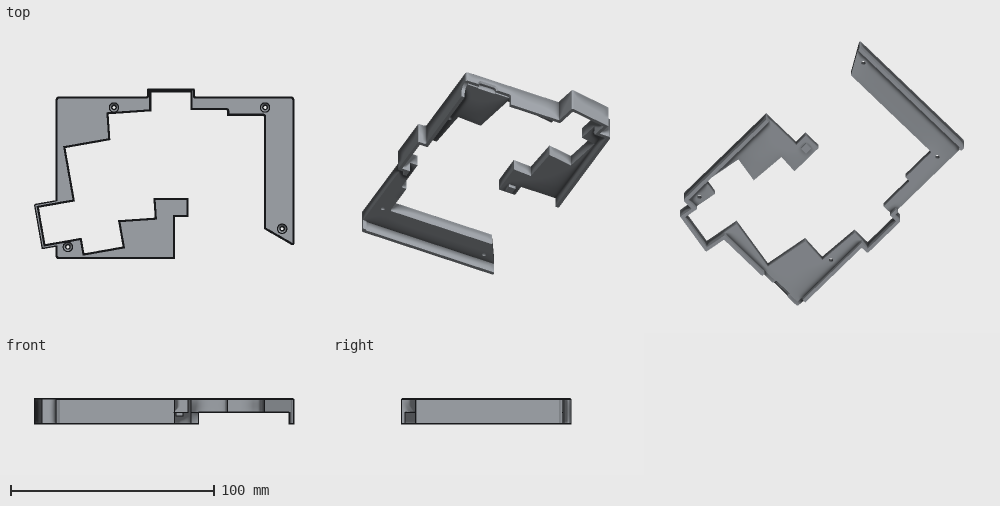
import cadquery as cq
import math

FRAME_RIGHT = 127.4
FRAME_LEFT = 10.6
FRAME_REAR = 79.4
FRAME_FRONT_RIGHT = 68.7
HEIGHT = 12.4
SLAB_BOTTOM = 5.6
WALL = 1.8
CORNER_RADIUS = 1.3
SMALL_CORNER_RADIUS = 0.8
ARM_TIP_RADIUS = 0.6
EDGE_CHAMFER = 0.5

CUP_TILT = 10.0
STEP_TILT = 4.0
CUP_WALL = 1.7
CUP_DEPTH = 18.7
CUP_INNER_Y = 25.2
CUP_LOWER_SIDE = 18.1
FRONT_POCKET_DROP = 7.8
FRONT_POCKET_WIDTH = 19.6
FRONT_POCKET_RISE = 13.1
FRONT_STEP_LENGTH = 18.1
CUP_UPPER_SIDE = 18.0
LEFT_POCKET_RISE = 26.6
LEFT_POCKET_TOP = 22.4
REAR_STEP_RISE = 12.7

TAB_RIGHT = 75.3
TAB_REAR = 29.5
TAB_FRONT = 20.6
TAB_PEG_LEFT = 69.4
TAB_PEG_SIZE = 3.6
TAB_PEG_BOTTOM = 3.8

BUMP_LEFT = 55.4
BUMP_RIGHT = 78.5
BUMP_REAR = 83.5
BUMP_WALL = 1.7

ARM_LEFT = 113.0
ARM_INNER_REAR = 70.5
ARM_FRONT = 6.4
ARM_END_ANGLE = 30.0
REAR_STEP_LEFT = 94.9
REAR_STRIP_FRONT = 73.3

REAR_WINDOW_LEFT = 80.6
REAR_WINDOW_RIGHT = 125.0
LEFT_WINDOW_FRONT = 54.8
LEFT_WINDOW_TOP = 6.4
NOTCH_TOP = 8.9
NOTCH_FRONT = 61.9
NOTCH_REAR = 72.6
NOTCH_SLOPE = 1.1
NOTCH_DEPTH = 2.2
NOTCH_BEVEL = 0.8
NOTCH_BEVEL_ANGLE = 45.0
CORNER_CUT_RIGHT = 15.9
CORNER_CUT_RADIUS = 3.8

SCREW_CENTRES = [(39.0, 74.3), (16.3, 5.7), (113.3, 74.3), (121.7, 14.7)]
SCREW_HOLE = 2.0
SCREW_HEAD = 4.6
SCREW_CONE_ANGLE = 90.0


def step(point, length, angle):
    """Point reached by moving a length from a point at an angle in degrees."""
    heading = math.radians(angle)
    return (point[0] + length * math.cos(heading), point[1] + length * math.sin(heading))


def cross_x(point, angle, x):
    """Point at the given x on the line through a point at an angle in degrees."""
    return (x, point[1] + (x - point[0]) * math.tan(math.radians(angle)))


tilt = math.radians(CUP_TILT)
diagonal = math.cos(tilt) + math.sin(tilt)
cup_corner_x = SMALL_CORNER_RADIUS * (1 - diagonal)
cup_inner_rear = (cup_corner_x + CUP_WALL * diagonal, CUP_INNER_Y)
cup_inner_front = step(cup_inner_rear, CUP_DEPTH, CUP_TILT - 90)
cup_outer_rear = step(step(cup_inner_rear, CUP_WALL, CUP_TILT + 90), CUP_WALL, CUP_TILT + 180)
cup_outer_front = step(cup_outer_rear, CUP_DEPTH + 2 * CUP_WALL, CUP_TILT - 90)
cup_join_rear = cross_x(cup_outer_rear, CUP_TILT, FRAME_LEFT)
cup_join_front = cross_x(cup_outer_front, CUP_TILT, FRAME_LEFT)

front_a = step(cup_inner_front, CUP_LOWER_SIDE, CUP_TILT)
front_b = step(front_a, FRONT_POCKET_DROP, CUP_TILT - 90)
front_c = step(front_b, FRONT_POCKET_WIDTH, CUP_TILT)
front_d = step(front_c, FRONT_POCKET_RISE, CUP_TILT + 90)
front_e = step(front_d, FRONT_STEP_LENGTH, STEP_TILT)
tab_side = (TAB_REAR - front_e[1]) / math.cos(math.radians(STEP_TILT))
front_f = step(front_e, tab_side, STEP_TILT + 90)

rear_a = step(cup_inner_rear, CUP_UPPER_SIDE, CUP_TILT)
rear_b = step(rear_a, LEFT_POCKET_RISE, CUP_TILT + 90)
rear_c = step(rear_b, LEFT_POCKET_TOP, CUP_TILT)
rear_d = step(rear_c, REAR_STEP_RISE, STEP_TILT + 90)
rear_e = cross_x(rear_d, STEP_TILT, BUMP_LEFT + BUMP_WALL)

arm_tip = (FRAME_RIGHT, ARM_FRONT)
outer_edge_rear = [
    cup_join_rear,
    (FRAME_LEFT, FRAME_REAR),
    (BUMP_LEFT, FRAME_REAR),
    (BUMP_LEFT, BUMP_REAR),
    (BUMP_RIGHT, BUMP_REAR),
    (BUMP_RIGHT, FRAME_REAR),
    (FRAME_RIGHT, FRAME_REAR),
]
inner_edge_rear = [
    arm_tip,
    cross_x(arm_tip, -ARM_END_ANGLE, ARM_LEFT),
    (ARM_LEFT, ARM_INNER_REAR),
    (REAR_STEP_LEFT, ARM_INNER_REAR),
    (REAR_STEP_LEFT, REAR_STRIP_FRONT),
    (BUMP_RIGHT - BUMP_WALL, REAR_STRIP_FRONT),
    (BUMP_RIGHT - BUMP_WALL, BUMP_REAR - BUMP_WALL),
    (BUMP_LEFT + BUMP_WALL, BUMP_REAR - BUMP_WALL),
    rear_e,
    rear_d,
    rear_c,
    rear_b,
    rear_a,
    cup_inner_rear,
]
inner_edge_front = [
    cup_inner_front,
    front_a,
    front_b,
    front_c,
    front_d,
    front_e,
    front_f,
    (TAB_RIGHT, TAB_REAR),
    (TAB_RIGHT, TAB_FRONT),
    (FRAME_FRONT_RIGHT, TAB_FRONT),
]
outer_edge_front = [
    (FRAME_FRONT_RIGHT, 0),
    (FRAME_LEFT, 0),
    cup_join_front,
    cup_outer_front,
    cup_outer_rear,
]
outline = outer_edge_rear + inner_edge_rear + inner_edge_front + outer_edge_front


def box(x_range, y_range, z_range):
    """Axis-aligned block between the given limits."""
    size = [limits[1] - limits[0] for limits in (x_range, y_range, z_range)]
    corner = (x_range[0], y_range[0], z_range[0])
    return cq.Workplane("XY").box(*size, centered=False).translate(corner)


def vertical_edges(body, points):
    """Vertical edges of the body standing at the given plan points."""
    picked = body.newObject([])
    for x, y in points:
        picked = picked.add(body.edges("|Z").edges(cq.NearestToPointSelector((x, y, HEIGHT / 2))))
    return picked


def frame_block():
    """Full-height frame with rounded outer corners and chamfered top edges."""
    body = cq.Workplane("XY").polyline(outline).close().extrude(HEIGHT)
    corners = [(FRAME_LEFT, 0), (FRAME_LEFT, FRAME_REAR), (FRAME_RIGHT, FRAME_REAR)]
    body = vertical_edges(body, corners).fillet(CORNER_RADIUS)
    bump_corners = [(x, y) for x in (BUMP_LEFT, BUMP_RIGHT) for y in (FRAME_REAR, BUMP_REAR)]
    inside_corners = [(ARM_LEFT, ARM_INNER_REAR), (REAR_STEP_LEFT, REAR_STRIP_FRONT)]
    small_corners = bump_corners + inside_corners + [cup_outer_rear]
    body = vertical_edges(body, small_corners).fillet(SMALL_CORNER_RADIUS)
    body = vertical_edges(body, [arm_tip]).fillet(ARM_TIP_RADIUS)
    top_edges = body.faces(">Z").edges()
    rim = [cup_join_front, cup_outer_front, cup_outer_rear, cup_join_rear]
    rim_middles = [((a[0] + b[0]) / 2, (a[1] + b[1]) / 2) for a, b in zip(rim, rim[1:])]
    for x, y in rim_middles + [cup_outer_rear]:
        sharp_edge = cq.NearestToPointSelector((x, y, HEIGHT))
        kept = [edge for edge in top_edges.vals() if edge not in sharp_edge.filter(top_edges.vals())]
        top_edges = top_edges.newObject(kept)
    return top_edges.chamfer(EDGE_CHAMFER)


def cavity():
    """Space under the slab, inside the outer walls."""
    x_range = (FRAME_LEFT + WALL, FRAME_RIGHT - WALL)
    return box(x_range, (WALL, FRAME_REAR - WALL), (0, SLAB_BOTTOM))


def notch():
    """Trapezoid recess above the left window with a bevelled mouth."""
    profile = [
        (NOTCH_FRONT, 0),
        (NOTCH_FRONT, NOTCH_TOP - NOTCH_SLOPE),
        (NOTCH_FRONT + NOTCH_SLOPE, NOTCH_TOP),
        (NOTCH_REAR - NOTCH_SLOPE, NOTCH_TOP),
        (NOTCH_REAR, NOTCH_TOP - NOTCH_SLOPE),
        (NOTCH_REAR, 0),
    ]
    plane = cq.Workplane("YZ", origin=(FRAME_LEFT, 0, 0))
    mouth = plane.polyline(profile).close().extrude(NOTCH_BEVEL, taper=NOTCH_BEVEL_ANGLE)
    return mouth.union(mouth.faces(">X").wires().toPending().extrude(NOTCH_DEPTH - NOTCH_BEVEL))


def corner_cut():
    """Opening at the left end of the rear wall, with a rounded upper corner."""
    x_range = (FRAME_LEFT, CORNER_CUT_RIGHT)
    opening = box(x_range, (FRAME_REAR - WALL, FRAME_REAR), (0, LEFT_WINDOW_TOP))
    return opening.edges("|Y and >X and >Z").fillet(CORNER_CUT_RADIUS)


def left_window():
    """Opening in the left wall with a trapezoid notch, reaching round the rear corner."""
    y_range = (LEFT_WINDOW_FRONT, FRAME_REAR - WALL)
    opening = box((FRAME_LEFT, FRAME_LEFT + WALL), y_range, (0, LEFT_WINDOW_TOP))
    opening = opening.edges("|X and >Z and <Y").fillet(CORNER_RADIUS)
    return opening.union(notch()).union(corner_cut())


def rear_window():
    """Opening in the rear wall beside the bump."""
    x_range = (REAR_WINDOW_LEFT, REAR_WINDOW_RIGHT)
    return box(x_range, (FRAME_REAR - WALL, FRAME_REAR), (0, SLAB_BOTTOM))


def tab_peg():
    """Square peg hanging under the tab."""
    y_start = (TAB_FRONT + TAB_REAR - TAB_PEG_SIZE) / 2
    x_range = (TAB_PEG_LEFT, TAB_PEG_LEFT + TAB_PEG_SIZE)
    return box(x_range, (y_start, y_start + TAB_PEG_SIZE), (TAB_PEG_BOTTOM, SLAB_BOTTOM))


result = frame_block().cut(cavity()).cut(left_window()).cut(rear_window()).union(tab_peg())
result = (
    result.faces(">Z").workplane(origin=(0, 0, HEIGHT))
    .pushPoints(SCREW_CENTRES)
    .cskHole(SCREW_HOLE, SCREW_HEAD, SCREW_CONE_ANGLE)
)